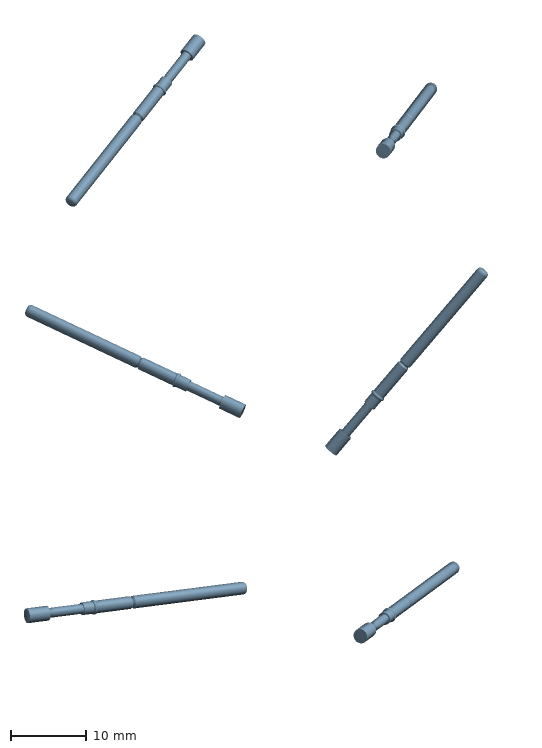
import cadquery as cq

total_length = 32.0
head_diameter = 2.0
head_length = 3.0
plunger_diameter = 1.3
plunger_length = 5.02
barrel_diameter = 1.7
tip_fillet = 0.48

ring_diameter = 2.0
ring_setback = 1.73
ring_width = 0.48

groove_setback = 7.25
groove_width = 0.48
groove_depth = 0.2

head_end = total_length / 2
tip_end = -total_length / 2
head_base = head_end - head_length
barrel_top = head_base - plunger_length
ring_middle = barrel_top - ring_setback
groove_middle = barrel_top - groove_setback

barrel_radius = barrel_diameter / 2
ring_radius = ring_diameter / 2
groove_radius = barrel_radius - groove_depth

profile = (
    cq.Workplane("XY")
    .moveTo(0, tip_end)
    .lineTo(barrel_radius - tip_fillet, tip_end)
    .radiusArc((barrel_radius, tip_end + tip_fillet), -tip_fillet)
    .lineTo(barrel_radius, groove_middle - groove_width / 2)
    .lineTo(groove_radius, groove_middle)
    .lineTo(barrel_radius, groove_middle + groove_width / 2)
    .lineTo(barrel_radius, ring_middle - ring_width / 2)
    .threePointArc((ring_radius, ring_middle), (barrel_radius, ring_middle + ring_width / 2))
    .lineTo(barrel_radius, barrel_top)
    .lineTo(plunger_diameter / 2, barrel_top)
    .lineTo(plunger_diameter / 2, head_base)
    .lineTo(head_diameter / 2, head_base)
    .lineTo(head_diameter / 2, head_end)
    .lineTo(0, head_end)
    .close()
)

result = profile.revolve(360, (0, 0), (0, 1))